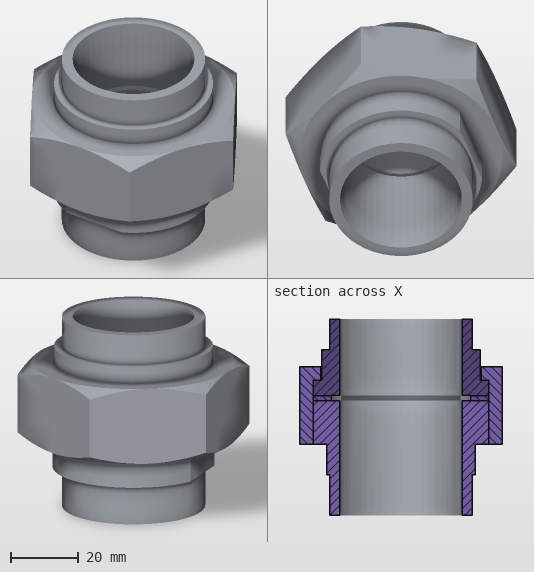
import cadquery as cq
import math


overall_height = 58.0
bore_radius = 18.0
pipe_radius = 21.2

collar_bottom = 12.0
nut_bottom = 21.0
nut_height = 23.0
nut_top = nut_bottom + nut_height
seat_height = 34.0
gasket_thickness = 1.5
flange_bottom = seat_height + gasket_thickness
lip_thickness = 4.0
lip_bottom = nut_top - lip_thickness
shoulder_height = 5.0
shoulder_top = nut_top + shoulder_height

collar_radius = 24.0
collar_flat_distance = 22.0
thread_radius = 26.0

shoulder_radius = 23.5

gasket_inner_radius = 20.5

hexagon_sides = 6
across_flats = 60.0
nut_chamfer_angle = 30.0
lip_clearance = 0.2


def ring(outer_radius, inner_radius, bottom, top):
    """Plain ring between two heights on the Z axis."""
    return (
        cq.Workplane("XY")
        .workplane(offset=bottom)
        .circle(outer_radius)
        .circle(inner_radius)
        .extrude(top - bottom)
    )


def make_lower_body():
    """Lower pipe end, collar with two wrench flats, and the threaded head carrying the gasket seat."""
    pipe = ring(pipe_radius, bore_radius, 0, collar_bottom)
    collar = ring(collar_radius, bore_radius, collar_bottom, nut_bottom)
    head = ring(thread_radius, bore_radius, nut_bottom, seat_height)

    flat_depth = collar_radius - collar_flat_distance
    flat_center = collar_flat_distance + flat_depth / 2
    for side in (-1, 1):
        flat_cut = (
            cq.Workplane("XY")
            .workplane(offset=collar_bottom)
            .center(0, side * flat_center)
            .rect(2 * collar_radius, flat_depth)
            .extrude(nut_bottom - collar_bottom)
        )
        collar = collar.cut(flat_cut)

    return pipe.union(collar).union(head)


def make_gasket():
    """Flat sealing ring between the lower body and the tail piece."""
    return ring(thread_radius, gasket_inner_radius, seat_height, flange_bottom)


def make_tail_piece():
    """Upper pipe end with a shoulder and the flange held under the nut lip."""
    flange = ring(thread_radius, bore_radius, flange_bottom, lip_bottom)
    shoulder = ring(shoulder_radius, bore_radius, lip_bottom, shoulder_top)
    pipe = ring(pipe_radius, bore_radius, shoulder_top, overall_height)
    return flange.union(shoulder).union(pipe)


def make_nut():
    """Hexagon union nut with corners along X, chamfered at both ends."""
    face_radius = across_flats / 2
    corner_radius = face_radius / math.cos(math.pi / hexagon_sides)
    chamfer_slope = math.tan(math.radians(nut_chamfer_angle))
    chamfer_drop = (corner_radius - face_radius) * chamfer_slope

    hexagon = (
        cq.Workplane("XY")
        .workplane(offset=nut_bottom)
        .polygon(hexagon_sides, 2 * corner_radius)
        .extrude(nut_height)
    )
    envelope = (
        cq.Workplane("XZ")
        .moveTo(0, nut_bottom)
        .lineTo(face_radius, nut_bottom)
        .lineTo(corner_radius, nut_bottom + chamfer_drop)
        .lineTo(corner_radius, nut_top - chamfer_drop)
        .lineTo(face_radius, nut_top)
        .lineTo(0, nut_top)
        .close()
        .revolve(360, (0, 0, 0), (0, 1, 0))
    )
    thread_bore = (
        cq.Workplane("XY")
        .workplane(offset=nut_bottom)
        .circle(thread_radius)
        .extrude(lip_bottom - nut_bottom)
    )
    lip_bore = (
        cq.Workplane("XY")
        .workplane(offset=lip_bottom)
        .circle(shoulder_radius + lip_clearance)
        .extrude(lip_thickness)
    )
    return hexagon.intersect(envelope).cut(thread_bore).cut(lip_bore)


lower_body = make_lower_body()
gasket = make_gasket()
tail_piece = make_tail_piece()
nut = make_nut()

result = cq.Compound.makeCompound(
    [lower_body.val(), gasket.val(), tail_piece.val(), nut.val()]
)